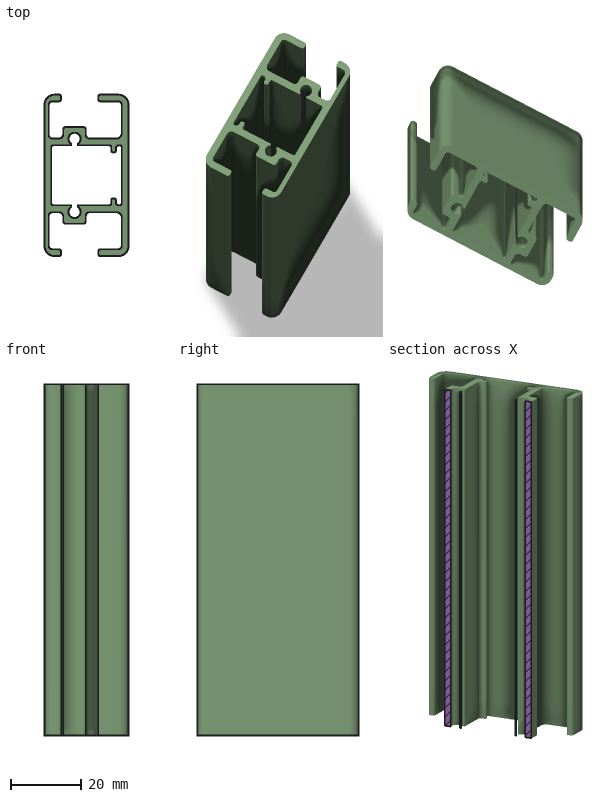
import cadquery as cq
import math

WIDTH = 24.0
DEPTH = 46.0
LENGTH = 100.0
OUTER_RADIUS = 3.0

WALL = 2.0
THIN_WALL = 1.3

LEFT_LIP = 4.8
RIGHT_LIP = 8.7
LIP_END_RADIUS = 0.7
LIP_ROOT_RADIUS = 1.0
CHANNEL_RADIUS = 1.0
BOSS_ROOT_RADIUS = 1.0
LEFT_BOSS_ROOT_RADIUS = 1.2
RIGHT_CHANNEL_RADIUS = 1.5

CHAMBER_DEPTH = 17.0
CHAMBER_RADIUS = 0.5
NIB_OFFSET = 3.6
NIB_WIDTH = 1.4
NIB_HEIGHT = 2.0
NIB_TIP_RADIUS = 0.6
NIB_ROOT_RADIUS = 0.8

BOSS_X = -3.4
BOSS_WIDTH = 6.5
BOSS_HEIGHT = 3.3
BOSS_RADIUS = 0.8
PORT_RADIUS = 1.7
PORT_Y = 10.4
PORT_SLOT = 1.9

CUT_MARGIN = 1.0

RIGHT = WIDTH / 2
LEFT = -RIGHT
END_Y = DEPTH / 2
LIP_Y = END_Y - WALL
CHAMBER_Y = CHAMBER_DEPTH / 2
WEB_Y = CHAMBER_Y + WALL
BOSS_Y = WEB_Y + BOSS_HEIGHT
BOSS_LEFT = BOSS_X - BOSS_WIDTH / 2
BOSS_RIGHT = BOSS_X + BOSS_WIDTH / 2
NIB_RIGHT = RIGHT - NIB_OFFSET
NIB_LEFT = NIB_RIGHT - NIB_WIDTH
NIB_Y = CHAMBER_Y - NIB_HEIGHT


def rounded_prism(corners):
    """Extrude a polygon of (x, y, radius) corners, each rounded by a tangent arc."""
    wire = None
    for i, (x, y, radius) in enumerate(corners):
        corner = cq.Vector(x, y)
        before = cq.Vector(*corners[i - 1][:2])
        after = cq.Vector(*corners[(i + 1) % len(corners)][:2])
        back = (before - corner).normalized()
        ahead = (after - corner).normalized()
        half_angle = back.getAngle(ahead) / 2
        tangent = radius / math.tan(half_angle)
        start = corner + back * tangent
        wire = wire.lineTo(start.x, start.y) if wire else cq.Workplane("XY").moveTo(start.x, start.y)
        if radius > 0:
            to_arc = radius / math.sin(half_angle) - radius
            middle = corner + (back + ahead).normalized() * to_arc
            end = corner + ahead * tangent
            wire = wire.threePointArc((middle.x, middle.y), (end.x, end.y))
    return wire.close().extrude(LENGTH)


def channel():
    """Open channel at the +Y end, running around the screw boss and the lip ends."""
    inner_left = LEFT + THIN_WALL
    inner_right = RIGHT - WALL
    left_tip = LEFT + LEFT_LIP
    right_tip = RIGHT - RIGHT_LIP
    clear_y = END_Y + CUT_MARGIN
    return rounded_prism([
        (inner_left, WEB_Y, CHANNEL_RADIUS),
        (BOSS_LEFT, WEB_Y, LEFT_BOSS_ROOT_RADIUS),
        (BOSS_LEFT, BOSS_Y, BOSS_RADIUS),
        (BOSS_RIGHT, BOSS_Y, BOSS_RADIUS),
        (BOSS_RIGHT, WEB_Y, BOSS_ROOT_RADIUS),
        (inner_right, WEB_Y, RIGHT_CHANNEL_RADIUS),
        (inner_right, LIP_Y, LIP_ROOT_RADIUS),
        (right_tip, LIP_Y, LIP_END_RADIUS),
        (right_tip, END_Y, LIP_END_RADIUS),
        (right_tip + CUT_MARGIN, END_Y, 0),
        (right_tip + CUT_MARGIN, clear_y, 0),
        (left_tip - CUT_MARGIN, clear_y, 0),
        (left_tip - CUT_MARGIN, END_Y, 0),
        (left_tip, END_Y, LIP_END_RADIUS),
        (left_tip, LIP_Y, LIP_END_RADIUS),
        (inner_left, LIP_Y, LIP_ROOT_RADIUS),
    ])


def chamber():
    """Central chamber, notched by a guide nib on each web."""
    upper = [
        (RIGHT - WALL, CHAMBER_Y, CHAMBER_RADIUS),
        (NIB_RIGHT, CHAMBER_Y, NIB_ROOT_RADIUS),
        (NIB_RIGHT, NIB_Y, NIB_TIP_RADIUS),
        (NIB_LEFT, NIB_Y, NIB_TIP_RADIUS),
        (NIB_LEFT, CHAMBER_Y, CHAMBER_RADIUS),
        (LEFT + WALL, CHAMBER_Y, CHAMBER_RADIUS),
    ]
    lower = [(x, -y, radius) for x, y, radius in reversed(upper)]
    return rounded_prism(upper + lower)


def screw_port():
    """Round port in the +Y boss with a slot into the chamber."""
    slot_bottom = CHAMBER_Y - CUT_MARGIN
    slot_depth = PORT_Y - slot_bottom
    port = cq.Workplane("XY").center(BOSS_X, PORT_Y).circle(PORT_RADIUS).extrude(LENGTH)
    slot = (
        cq.Workplane("XY")
        .center(BOSS_X, slot_bottom + slot_depth / 2)
        .rect(PORT_SLOT, slot_depth)
        .extrude(LENGTH)
    )
    return port.union(slot)


body = cq.Workplane("XY").rect(WIDTH, DEPTH).extrude(LENGTH).edges("|Z").fillet(OUTER_RADIUS)
body = body.cut(chamber())
for cutter in (channel(), screw_port()):
    body = body.cut(cutter).cut(cutter.mirror("XZ"))

result = body